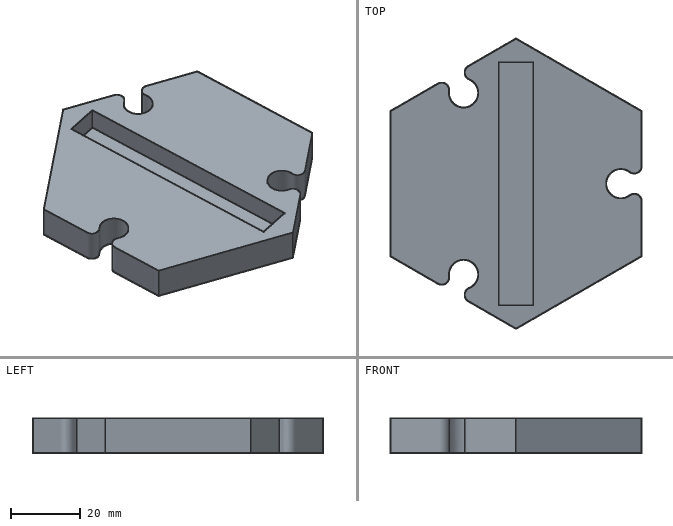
import cadquery as cq
import math

corner_diameter = 84.0
thickness = 10.2
edge_distance = corner_diameter / 2 * math.cos(math.radians(30))

notch_radius = 4.2
notch_depth = 6.05
lip_radius = 2.2
notch_angles = (0, 120, 240)

pocket_width = 9.9
pocket_length = 70.2
pocket_depth = 7.0


def make_plate():
    return (
        cq.Workplane("XY")
        .polygon(6, corner_diameter)
        .extrude(thickness)
        .rotate((0, 0, 0), (0, 0, 1), 30)
    )


def make_notch():
    """Cutter for the +X side: a round notch whose mouth has rounded lips."""
    centre_x = edge_distance - notch_depth
    lip_x = edge_distance - lip_radius
    centre_spacing = notch_radius + lip_radius
    lip_y = math.sqrt(centre_spacing**2 - (lip_x - centre_x) ** 2)
    touch_share = notch_radius / centre_spacing
    touch_x = centre_x + (lip_x - centre_x) * touch_share
    touch_y = lip_y * touch_share
    touch_angle = math.atan2(touch_y - lip_y, touch_x - lip_x)
    middle_angle = touch_angle / 2
    middle_x = lip_x + lip_radius * math.cos(middle_angle)
    middle_y = lip_y + lip_radius * math.sin(middle_angle)
    return (
        cq.Workplane("XY")
        .moveTo(edge_distance, lip_y)
        .threePointArc((middle_x, middle_y), (touch_x, touch_y))
        .threePointArc((centre_x - notch_radius, 0), (touch_x, -touch_y))
        .threePointArc((middle_x, -middle_y), (edge_distance, -lip_y))
        .close()
        .extrude(thickness)
    )


def make_pocket():
    return (
        cq.Workplane("XY")
        .workplane(offset=thickness - pocket_depth)
        .rect(pocket_width, pocket_length)
        .extrude(pocket_depth)
    )


result = make_plate().cut(make_pocket())
for angle in notch_angles:
    result = result.cut(make_notch().rotate((0, 0, 0), (0, 0, 1), angle))